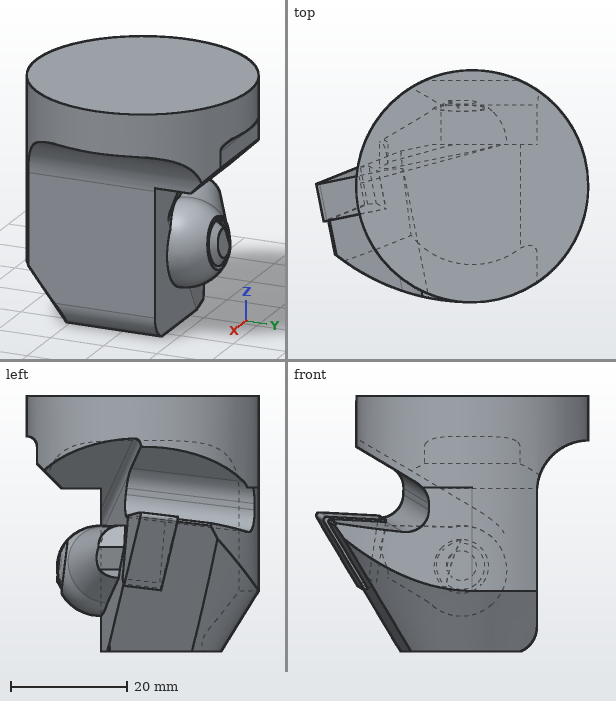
import cadquery as cq
import math

arc_middle = math.sqrt(0.5)

total_height = 44.0
head_dia = 40.0
head_r = head_dia / 2
shank_flat_x = 11.15
undercut_r = head_r - shank_flat_x
undercut_top_z = 36.32
heel_r = 4.7
heel_height = 4.3

foot_r = 13.5
cone_height = 10.45
cone_slope = (head_r - foot_r) / cone_height

bulge_r = 37.8
bulge_top_z = 28.25

back_y = 7.2
pocket_top_z = 28.08
bevel_start_y = 13.95
back_flat_y = 18.25
back_flat_top_z = 37.05
back_fillet_r = 1.7

tip = cq.Vector(-27.33, 0.2, 24.05)
edge_direction = cq.Vector(0.2, -1, -0.12)
across_direction = cq.Vector(1, 0.2, 0)
tooth_plane = cq.Plane(origin=tip, xDir=across_direction, normal=edge_direction)

top_angle = math.radians(3)
flank_angle = math.radians(58)
ramp_angle = math.radians(30)
gullet_r = 8.0 / 2
gullet_u = 11.65
reach = 70.3
gullet_straight = 1.1
relief_fillet_r = 1.4
relief_rise = 0.95

insert_width = 6.55
insert_length = 15.1
insert_foot = 2.35
nose_r = 0.55
flank_proud = 0.6
edge_bevel = 0.55
top_proud = 0.37

boss_r = 7.85
boss_center = cq.Vector(-1.87, back_y, 13.9)
boss_neck = 6.3
boss_cap_r = 8.0 / 2
boss_end_r = 5.15 / 2
boss_length = 7.3
boss_tilt = 7
nozzle_end = cq.Vector(-15.95, 3.3, 18.0)
nozzle_end_r = 3.9
nozzle_bevel = 1.4


def flank_point(distance):
    return (distance * math.cos(flank_angle), -distance * math.sin(flank_angle))


def gullet_points(top_offset):
    """End of the top face, middle of the lower arc, the straight wall,
    middle of the upper arc and start of the ramp."""
    center_v = gullet_r / math.cos(top_angle) - gullet_u * math.tan(top_angle) - top_offset
    upper_v = center_v + gullet_straight

    def on_arc(angle, arc_center_v):
        return (gullet_u + gullet_r * math.cos(angle), arc_center_v + gullet_r * math.sin(angle))

    low_angle = -math.pi / 2 - top_angle
    high_angle = math.pi / 2 - ramp_angle
    return (
        on_arc(low_angle, center_v),
        on_arc(low_angle / 2, center_v),
        on_arc(0, center_v),
        on_arc(0, upper_v),
        on_arc(high_angle / 2, upper_v),
        on_arc(high_angle, upper_v),
    )


def chip_space(top_offset, flank_offset):
    """Everything outside the flank, above the top face and inside the gullet."""
    low, low_middle, wall_start, wall_end, high_middle, high = gullet_points(top_offset)
    slope = math.tan(top_angle)
    shift = flank_offset / math.sin(flank_angle)
    steep = math.tan(flank_angle)
    corner_u = (shift * steep + top_offset) / (steep - slope)
    corner_v = -top_offset - corner_u * slope
    bevel_flank = flank_point(edge_bevel)
    bevel_top = (edge_bevel * math.cos(top_angle), -edge_bevel * math.sin(top_angle))
    bottom = flank_point(reach)
    ramp_end = (high[0] - reach * math.cos(ramp_angle), high[1] + reach * math.sin(ramp_angle))
    return (
        cq.Workplane(tooth_plane)
        .moveTo(corner_u + bevel_flank[0], corner_v + bevel_flank[1])
        .lineTo(corner_u + bevel_top[0], corner_v + bevel_top[1])
        .lineTo(*low)
        .threePointArc(low_middle, wall_start)
        .lineTo(*wall_end)
        .threePointArc(high_middle, high)
        .lineTo(*ramp_end)
        .lineTo(-reach, bottom[1])
        .lineTo(bottom[0] + shift, bottom[1])
        .close()
        .extrude(reach / 2, both=True)
    )


def make_blank():
    """Head and shank with the tooth bulge, coned around the foot."""
    head = cq.Workplane("XY").circle(head_r).extrude(total_height)
    bulge = cq.Workplane("XY").center(0, bulge_r - head_r).circle(bulge_r).extrude(bulge_top_z)
    bulge_side = cq.Workplane("XY").box(reach, 2 * reach, reach, centered=(False, True, False))
    bulge = bulge.intersect(bulge_side.translate((-reach, 0, 0)))
    top_r = foot_r + cone_slope * total_height
    cone = (
        cq.Workplane("XZ")
        .polyline([(0, 0), (foot_r, 0), (top_r, total_height), (0, total_height)])
        .close()
        .revolve(360, (0, 0, 0), (0, 1, 0))
    )
    return head.union(bulge).intersect(cone)


def undercut():
    """Material removed beside the +X flat, with the head blend and the rounded heel."""
    blend_center_z = undercut_top_z - undercut_r
    heel_center_x = shank_flat_x - heel_r
    heel_end_x = heel_center_x + math.sqrt(heel_r**2 - heel_height**2)
    middle_angle = math.asin(heel_height / heel_r) / 2
    heel_middle = (
        heel_center_x + heel_r * math.cos(middle_angle),
        heel_height - heel_r * math.sin(middle_angle),
    )
    return (
        cq.Workplane("XZ")
        .moveTo(heel_end_x, 0)
        .threePointArc(heel_middle, (shank_flat_x, heel_height))
        .lineTo(shank_flat_x, blend_center_z)
        .threePointArc(
            (head_r - undercut_r * arc_middle, blend_center_z + undercut_r * arc_middle),
            (head_r, undercut_top_z),
        )
        .lineTo(reach, undercut_top_z)
        .lineTo(reach, 0)
        .close()
        .extrude(reach, both=True)
    )


def back_pocket():
    """Space behind the shank: roof, 45 degree bevel and filleted flat under the head."""
    bevel_end_z = pocket_top_z + back_flat_y - bevel_start_y
    fillet_y = back_flat_y + back_fillet_r
    fillet_z = back_flat_top_z - back_fillet_r
    return (
        cq.Workplane("YZ")
        .moveTo(back_y, 0)
        .lineTo(back_y, pocket_top_z)
        .lineTo(bevel_start_y, pocket_top_z)
        .lineTo(back_flat_y, bevel_end_z)
        .lineTo(back_flat_y, fillet_z)
        .threePointArc(
            (fillet_y - back_fillet_r * arc_middle, fillet_z + back_fillet_r * arc_middle),
            (fillet_y, back_flat_top_z),
        )
        .lineTo(reach, back_flat_top_z)
        .lineTo(reach, 0)
        .close()
        .extrude(reach, both=True)
    )


def tooth_relief():
    """Space behind the back face of the tooth, under a roof parallel to the gullet ramp."""
    high = gullet_points(0)[-1]
    slope = math.tan(ramp_angle)
    ramp_v = high[1] + relief_rise / math.cos(ramp_angle)
    roof_start = (-reach, ramp_v + slope * (high[0] + reach))
    roof_end = (reach, ramp_v - slope * (reach - high[0]))
    roof_middle = tooth_plane.toWorldCoords((0, (roof_start[1] + roof_end[1]) / 2)).toTuple()
    return (
        cq.Workplane(tooth_plane)
        .polyline([
            roof_start,
            roof_end,
            (reach, -reach),
            (-reach, -reach),
        ])
        .close()
        .extrude(-reach)
        .edges(cq.selectors.NearestToPointSelector(roof_middle))
        .fillet(relief_fillet_r)
    )


def make_boss():
    """Domed boss with a tapered cap, and the nozzle that runs from it behind the tooth."""
    neck_r = math.sqrt(boss_r**2 - boss_neck**2)
    dome = (
        cq.Workplane("XY")
        .moveTo(0, -boss_r)
        .threePointArc((boss_r, 0), (neck_r, boss_neck))
        .lineTo(boss_cap_r, boss_neck)
        .lineTo(boss_end_r, boss_length)
        .lineTo(0, boss_length)
        .close()
        .revolve(360, (0, 0, 0), (0, 1, 0))
        .rotate((0, 0, 0), (1, 0, 0), boss_tilt)
        .translate(boss_center)
    )
    axis = nozzle_end - boss_center
    nozzle = cq.Workplane(cq.Solid.makeCone(boss_r, nozzle_end_r, axis.Length, boss_center, axis))
    flats = (
        cq.Workplane("XZ")
        .polyline([
            (nozzle_end.x, nozzle_end.z),
            (nozzle_end.x + nozzle_bevel, nozzle_end.z + nozzle_end_r),
            (nozzle_end.x + nozzle_bevel, total_height),
            (reach, total_height),
            (reach, -reach),
            (nozzle_end.x + nozzle_bevel, -reach),
            (nozzle_end.x + nozzle_bevel, nozzle_end.z - nozzle_end_r),
        ])
        .close()
        .extrude(reach, both=True)
    )
    return dome.union(nozzle.intersect(flats))


def make_insert():
    """Cutting insert: a wedge along the cutting edge with a rounded nose."""
    low = gullet_points(0)[0]
    end = flank_point(insert_length)
    foot = (
        end[0] + insert_foot * math.sin(flank_angle),
        end[1] + insert_foot * math.cos(flank_angle),
    )
    return (
        cq.Workplane(tooth_plane)
        .polyline([(0, 0), low, foot, end])
        .close()
        .extrude(insert_width)
        .edges(cq.selectors.NearestToPointSelector((tip + edge_direction * (insert_width / 2)).toTuple()))
        .fillet(nose_r)
    )


insert = make_insert()
body = (
    make_blank()
    .cut(undercut())
    .cut(back_pocket())
    .cut(chip_space(top_proud, flank_proud))
    .cut(tooth_relief())
    .union(make_boss())
    .cut(insert)
)

result = cq.Compound.makeCompound([body.val(), insert.val()])